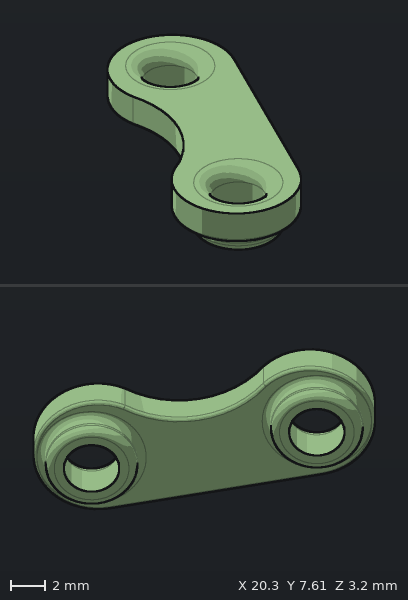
import cadquery as cq
import math

length = 20.3
width = 7.61
end_radius = width / 2
end_x = length / 2 - end_radius
plate_thickness = 2.0
bottom_edge_radius = 0.2

hollow_half_width = 4.15
hollow_crest_y = -1.56
hollow_end_y = -math.sqrt(end_radius**2 - (end_x - hollow_half_width) ** 2)

total_height = 3.2
boss_height = total_height - plate_thickness
boss_radius = 5.4 / 2
boss_fillet = 0.5
hole_spacing = 13.45
hole_radius = 3.25 / 2
hole_mouth_radius = 1.0


def make_plate():
    """Plate with its underside at Z = 0 and its lower rim rounded."""
    outline = (
        cq.Workplane("XY")
        .moveTo(-end_x, end_radius)
        .lineTo(end_x, end_radius)
        .threePointArc((length / 2, 0), (hollow_half_width, hollow_end_y))
        .threePointArc((0, hollow_crest_y), (-hollow_half_width, hollow_end_y))
        .threePointArc((-length / 2, 0), (-end_x, end_radius))
        .close()
    )
    return outline.extrude(plate_thickness).faces("<Z").edges().fillet(bottom_edge_radius)


def make_boss():
    """Round boss with a flared root and a rounded lower rim, on the Z axis."""
    arc_inset = boss_fillet * (1 - math.sqrt(0.5))
    profile = (
        cq.Workplane("XZ")
        .lineTo(boss_radius + boss_fillet, 0)
        .threePointArc((boss_radius + arc_inset, -arc_inset), (boss_radius, -boss_fillet))
        .lineTo(boss_radius, boss_fillet - boss_height)
        .threePointArc(
            (boss_radius - arc_inset, arc_inset - boss_height),
            (boss_radius - boss_fillet, -boss_height),
        )
        .lineTo(0, -boss_height)
        .close()
    )
    return profile.revolve(360, (0, 0), (0, 1))


def make_hole():
    """Through hole cutter whose upper mouth flares out to the plate top."""
    mouth_inset = hole_mouth_radius * (1 - math.sqrt(0.5))
    profile = (
        cq.Workplane("XZ")
        .moveTo(0, -boss_height)
        .lineTo(hole_radius, -boss_height)
        .lineTo(hole_radius, plate_thickness - hole_mouth_radius)
        .threePointArc(
            (hole_radius + mouth_inset, plate_thickness - mouth_inset),
            (hole_radius + hole_mouth_radius, plate_thickness),
        )
        .lineTo(0, plate_thickness)
        .close()
    )
    return profile.revolve(360, (0, 0), (0, 1))


result = make_plate()
for hole_x in (-hole_spacing / 2, hole_spacing / 2):
    result = result.union(make_boss().translate((hole_x, 0, 0)))
    result = result.cut(make_hole().translate((hole_x, 0, 0)))